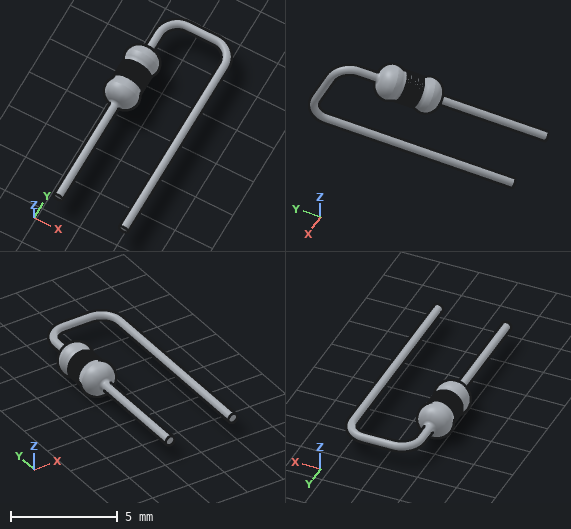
import cadquery as cq
import math

wire_diameter = 0.5
lead_spacing = 3.5
bend_radius = 1.0
total_length = 11.05
hook_top = 3.85

bulge_diameter = 1.8
core_diameter = 1.52
band_diameter = 1.55
band_count = 4
band_width = 0.12
bulge_center_y = 0.96
neck_end_y = 1.77
neck_fillet_radius = 0.17

wire_radius = wire_diameter / 2
bulge_radius = bulge_diameter / 2
core_radius = core_diameter / 2
banded_length = (2 * band_count - 1) * band_width
flare_start_y = banded_length / 2


def make_wire():
    """Sweep the round wire along its two legs, two bends and crossbar."""
    end_y = hook_top - total_length
    crossbar_y = hook_top - wire_radius
    bend_start_y = crossbar_y - bend_radius
    bend_offset = bend_radius * math.sin(math.radians(45))
    bend_mid_y = bend_start_y + bend_offset
    path = (
        cq.Workplane("XY")
        .moveTo(0, end_y)
        .lineTo(0, bend_start_y)
        .threePointArc((bend_radius - bend_offset, bend_mid_y), (bend_radius, crossbar_y))
        .lineTo(lead_spacing - bend_radius, crossbar_y)
        .threePointArc(
            (lead_spacing - bend_radius + bend_offset, bend_mid_y),
            (lead_spacing, bend_start_y),
        )
        .lineTo(lead_spacing, end_y)
    )
    section = cq.Workplane("XZ", origin=(0, end_y, 0)).circle(wire_radius)
    return section.sweep(path)


def make_disc(diameter, start_y, width):
    """Make a disc on the body axis, reaching from start_y in +Y."""
    plane = cq.Workplane("XZ", origin=(0, start_y, 0))
    return plane.circle(diameter / 2).extrude(-width)


def make_body_end():
    """Revolve the +Y end of the body: flare, domed bulge and neck fillet."""
    flare_rise = (bulge_radius - core_radius) / 2
    flare_run = (bulge_center_y - flare_start_y) / 2
    flare_radius = (flare_rise**2 + flare_run**2) / (2 * flare_rise)
    flare_middle = (core_radius + flare_rise, flare_start_y + flare_run)

    fillet_x = wire_radius + neck_fillet_radius
    reach = bulge_radius + neck_fillet_radius
    rise = neck_end_y - bulge_center_y
    dome_x = (reach**2 - fillet_x**2 - rise**2) / (2 * (reach - fillet_x))
    dome_radius = bulge_radius - dome_x
    contact_share = dome_radius / (dome_radius + neck_fillet_radius)
    dome_end = (
        dome_x + contact_share * (fillet_x - dome_x),
        bulge_center_y + contact_share * rise,
    )
    profile = (
        cq.Workplane("XY")
        .moveTo(0, flare_start_y)
        .lineTo(core_radius, flare_start_y)
        .radiusArc(flare_middle, flare_radius)
        .radiusArc((bulge_radius, bulge_center_y), -flare_radius)
        .radiusArc(dome_end, -dome_radius)
        .radiusArc((wire_radius, neck_end_y), neck_fillet_radius)
        .lineTo(0, neck_end_y)
        .close()
    )
    return profile.revolve(360, (0, 0), (0, 1))


body_end = make_body_end()
core = make_disc(core_diameter, -flare_start_y, banded_length)
result = make_wire().union(core).union(body_end).union(body_end.mirror("XZ"))

for band_index in range(band_count):
    band_start_y = -flare_start_y + 2 * band_index * band_width
    result = result.union(make_disc(band_diameter, band_start_y, band_width))